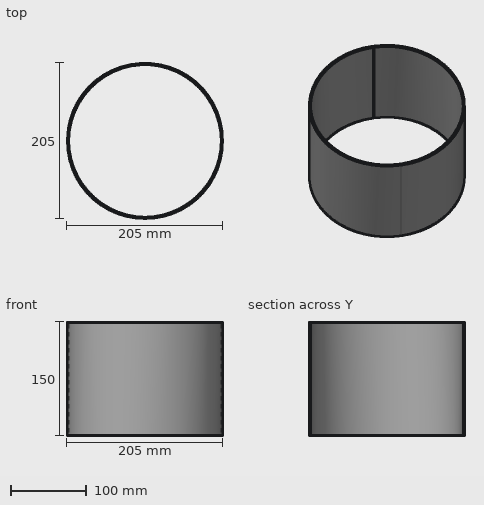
import cadquery as cq

OUTER_DIAMETER = 205.0
WALL = 2.5
HEIGHT = 150.0
RIM_TAPER_DEPTH = 0.6
RIM_TAPER_HEIGHT = 1.5
SLIT_WIDTH = 1.8

OUTER_RADIUS = OUTER_DIAMETER / 2
INNER_RADIUS = OUTER_RADIUS - WALL
RIM_OUTER_RADIUS = OUTER_RADIUS - RIM_TAPER_DEPTH
RIM_INNER_RADIUS = INNER_RADIUS + RIM_TAPER_DEPTH
UPPER_TAPER_START = HEIGHT - RIM_TAPER_HEIGHT
FULL_TURN = 360.0


def make_sleeve():
    """Thin tube standing on Z = 0, its wall steeply tapered inside and outside at both rims."""
    wall_section = (
        cq.Workplane("XZ")
        .moveTo(RIM_INNER_RADIUS, 0)
        .lineTo(RIM_OUTER_RADIUS, 0)
        .lineTo(OUTER_RADIUS, RIM_TAPER_HEIGHT)
        .lineTo(OUTER_RADIUS, UPPER_TAPER_START)
        .lineTo(RIM_OUTER_RADIUS, HEIGHT)
        .lineTo(RIM_INNER_RADIUS, HEIGHT)
        .lineTo(INNER_RADIUS, UPPER_TAPER_START)
        .lineTo(INNER_RADIUS, RIM_TAPER_HEIGHT)
        .close()
    )
    return wall_section.revolve(FULL_TURN, (0, 0, 0), (0, 1, 0))


def make_slit():
    """Full-height cutter through the -X side of the wall, with one face on the XZ plane."""
    cutter = cq.Workplane("XY").box(OUTER_RADIUS, SLIT_WIDTH, HEIGHT, centered=False)
    return cutter.translate((-OUTER_RADIUS, 0, 0))


result = make_sleeve().cut(make_slit())